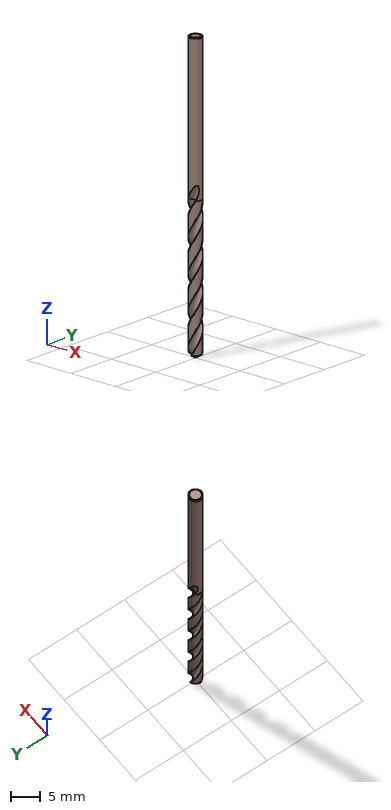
import cadquery as cq
import math

diameter = 2.5
overall_length = 57.0
body_length = 28.1
point_angle = 118.0
flute_pitch = 13.06
flute_count = 2
core_radius = 0.4
flute_radius = 0.89
flute_angle_at_shank = 90.0
shank_chamfer = 0.2
web_overrun = 0.5

radius = diameter / 2
point_height = radius / math.tan(math.radians(point_angle / 2))
flute_center = core_radius + flute_radius
degrees_per_mm = 360.0 / flute_pitch
flute_angle_at_tip = flute_angle_at_shank - degrees_per_mm * body_length


def make_twisted_web():
    """Twisted bar, wider than the drill, whose hollows are the helical flutes."""
    start_angle = flute_angle_at_tip - degrees_per_mm * web_overrun
    length = body_length + 2 * web_overrun
    section = (
        cq.Sketch()
        .circle(radius + web_overrun)
        .parray(flute_center, start_angle, 360, flute_count)
        .circle(flute_radius, mode="s")
    )
    return (
        cq.Workplane("XY", origin=(0, 0, -web_overrun))
        .placeSketch(section)
        .twistExtrude(length, degrees_per_mm * length)
    )


def make_fluted_body():
    """Cutting end with a conical point and helical flutes."""
    blank = (
        cq.Workplane("XZ")
        .moveTo(0, 0)
        .lineTo(radius, point_height)
        .lineTo(radius, body_length)
        .lineTo(0, body_length)
        .close()
        .revolve(360, (0, 0, 0), (0, 1, 0))
    )
    return blank.intersect(make_twisted_web())


def make_runout(index):
    """Straight continuation of one flute, tangent to its helix, leaving the side of the shank."""
    drift_per_mm = flute_center * math.radians(degrees_per_mm)
    runout_height = diameter / drift_per_mm
    drill_axis = cq.Vector(0, 0, 1)
    profile = cq.Wire.makeCircle(flute_radius, cq.Vector(flute_center, 0, body_length), drill_axis)
    cutter = cq.Solid.extrudeLinear(profile, [], cq.Vector(0, diameter, runout_height))
    angle = flute_angle_at_shank + index * 360.0 / flute_count
    return cutter.rotate(cq.Vector(0, 0, 0), drill_axis, angle)


def make_shank():
    """Round shank with a chamfered end, into which the flutes run out."""
    shank = (
        cq.Workplane("XY", origin=(0, 0, body_length))
        .circle(radius)
        .extrude(overall_length - body_length)
        .faces(">Z")
        .chamfer(shank_chamfer)
    )
    for index in range(flute_count):
        shank = shank.cut(cq.Workplane(make_runout(index)))
    return shank


shank = make_shank()
fluted_body = make_fluted_body()
result = cq.Compound.makeCompound([shank.solids().val(), fluted_body.solids().val()])